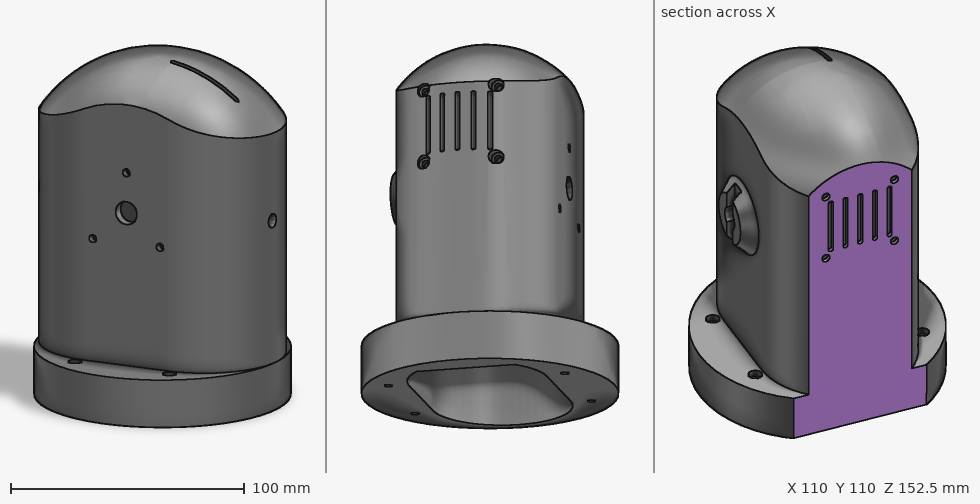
import cadquery as cq
import math

total_height = 152.5
base_diameter = 110.0
base_height = 21.0
body_half_depth = 35.0
wall = 4.7
cavity_flat_x = -41.2

dome_radius = 66.0
dome_rim_radius = 50.2
dome_axis_z = total_height - dome_radius

base_bolt_circle_radius = 45.0
base_bolt_angles = (60, 120, 240, 300)
screw_hole_diameter = 3.4
screw_head_diameter = 6.0
screw_head_depth = 3.0

bore_z = 88.6
bore_diameter = 10.0
front_screw_depth = 3.8
front_screw_places = ((0, 106.5), (-16.0, 75.3), (16.0, 75.3))

vent_center_z = 106.0
vent_screw_spacing = 32.0
vent_screw_seat_x = -47.0
vent_floor_x = -43.5
vent_count = 5
vent_pitch = 6.9
vent_width = 2.0
vent_length = 25.9

dome_slot_x = 25.0
dome_slot_y = -10.0
dome_slot_length = 32.0
dome_slot_width = 2.0

boss_base_radius = 17.5
boss_height = 6.0
boss_tip_radius = boss_base_radius - boss_height
boss_groove_width = 6.5
boss_groove_depth = 4.0

port_diameter = 6.0
port_y = -4.5
port_z = 84.3


def stadium_column(inset, bottom, top):
    """Upright column with flat front and back faces and round ends."""
    width = base_diameter - 2 * inset
    depth = 2 * (body_half_depth - inset)
    return cq.Workplane("XY", origin=(0, 0, bottom)).slot2D(width, depth).extrude(top - bottom)


def dome_envelope(inset):
    """Barrel about an axis along Y whose radius follows an arc."""
    crown = dome_radius - inset
    rim = dome_rim_radius - inset
    return (
        cq.Workplane("XY", origin=(0, 0, dome_axis_z))
        .moveTo(0, -body_half_depth)
        .lineTo(rim, -body_half_depth)
        .threePointArc((crown, 0), (rim, body_half_depth))
        .lineTo(0, body_half_depth)
        .close()
        .revolve(360, (0, 0, 0), (0, 1, 0))
    )


def domed_column(inset):
    """Stadium column with its top trimmed to the dome."""
    lower = stadium_column(inset, 0, dome_axis_z)
    upper = stadium_column(inset, dome_axis_z, total_height).intersect(dome_envelope(inset))
    return lower.union(upper)


def cavity():
    """Space inside the walls, open at the bottom and with a flat -X end."""
    vent_end = (
        cq.Workplane("XY")
        .center(cavity_flat_x - base_diameter / 2, 0)
        .rect(base_diameter, base_diameter)
        .extrude(total_height)
    )
    return domed_column(wall).cut(vent_end)


def cylinder_along_x(diameter, x_start, x_end, y, z):
    return (
        cq.Workplane("YZ", origin=(x_start, y, z))
        .circle(diameter / 2)
        .extrude(x_end - x_start)
    )


def cylinder_along_y(diameter, y_start, y_end, x, z):
    return (
        cq.Workplane("XZ", origin=(x, y_start, z))
        .circle(diameter / 2)
        .extrude(y_start - y_end)
    )


def rear_boss():
    cone = cq.Workplane(
        cq.Solid.makeCone(
            boss_base_radius,
            boss_tip_radius,
            boss_height,
            cq.Vector(0, body_half_depth, bore_z),
            cq.Vector(0, 1, 0),
        )
    )
    groove_y = body_half_depth + boss_height - boss_groove_depth / 2
    groove = cq.Workplane("XY").box(boss_groove_width, boss_groove_depth, 2 * boss_base_radius)
    return cone.cut(groove.translate((0, groove_y, bore_z)))


result = cq.Workplane("XY").circle(base_diameter / 2).extrude(base_height)
result = result.union(domed_column(0))
result = result.union(rear_boss())
result = result.cut(cavity())

for angle in base_bolt_angles:
    x = base_bolt_circle_radius * math.cos(math.radians(angle))
    y = base_bolt_circle_radius * math.sin(math.radians(angle))
    bolt_hole = cq.Workplane("XY", origin=(x, y, 0)).circle(screw_hole_diameter / 2).extrude(base_height)
    head_recess = (
        cq.Workplane("XY", origin=(x, y, base_height))
        .circle(screw_head_diameter / 2)
        .extrude(-screw_head_depth)
    )
    result = result.cut(bolt_hole).cut(head_recess)

bore_end_y = body_half_depth + boss_height
result = result.cut(cylinder_along_y(bore_diameter, -body_half_depth, bore_end_y, 0, bore_z))

for x, z in front_screw_places:
    result = result.cut(
        cylinder_along_y(
            screw_hole_diameter, -body_half_depth, -body_half_depth + front_screw_depth, x, z
        )
    )

for index in range(vent_count):
    y = (index - (vent_count - 1) / 2) * vent_pitch
    vent = (
        cq.Workplane("YZ", origin=(-base_diameter / 2, y, vent_center_z))
        .slot2D(vent_length, vent_width, 90)
        .extrude(vent_floor_x + base_diameter / 2)
    )
    result = result.cut(vent)

for y in (-vent_screw_spacing / 2, vent_screw_spacing / 2):
    for z in (vent_center_z - vent_screw_spacing / 2, vent_center_z + vent_screw_spacing / 2):
        head = cylinder_along_x(screw_head_diameter, -base_diameter / 2, vent_screw_seat_x, y, z)
        hole = cylinder_along_x(screw_hole_diameter, -base_diameter / 2, vent_floor_x, y, z)
        result = result.cut(head).cut(hole)

dome_slot = (
    cq.Workplane("XY", origin=(dome_slot_x, dome_slot_y, dome_axis_z))
    .slot2D(dome_slot_length, dome_slot_width)
    .extrude(dome_radius)
)
result = result.cut(dome_slot)

result = result.cut(cylinder_along_x(port_diameter, 0, base_diameter / 2, port_y, port_z))